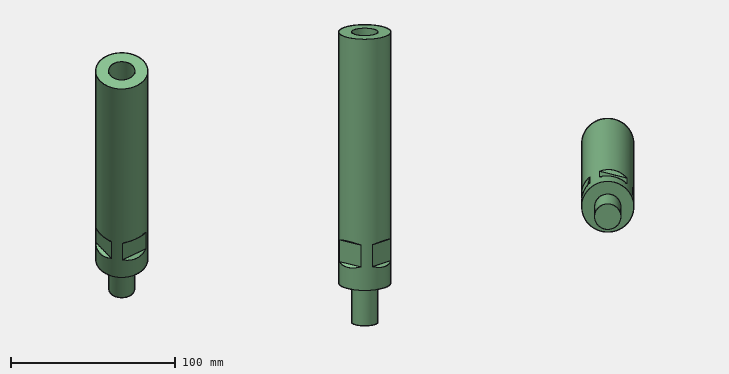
import cadquery as cq
import math

total_length = 184.5
body_diameter = 32.0
stud_diameter = 16.0
stud_length = 24.9

bore_diameter = stud_diameter
bore_depth = stud_length

across_flats = 27.0
flat_bottom = 39.9
flat_height = 13.8
end_slope = 30.0
flat_count = 4

body_radius = body_diameter / 2
flat_distance = across_flats / 2
flat_top = flat_bottom + flat_height


def make_flat_cutter():
    """Trapezoidal prism that cuts the flat on the +X side."""
    cutter_reach = body_diameter
    flare = (cutter_reach - flat_distance) * math.tan(math.radians(end_slope))
    return (
        cq.Workplane("XZ")
        .polyline([
            (flat_distance, flat_bottom),
            (cutter_reach, flat_bottom - flare),
            (cutter_reach, flat_top + flare),
            (flat_distance, flat_top),
        ])
        .close()
        .extrude(body_radius, both=True)
    )


stud = cq.Workplane("XY").circle(stud_diameter / 2).extrude(stud_length)
body = (
    cq.Workplane("XY")
    .workplane(offset=stud_length)
    .circle(body_radius)
    .extrude(total_length - stud_length)
)
result = body.union(stud)

result = result.faces(">Z").workplane().hole(bore_diameter, bore_depth)

for index in range(flat_count):
    angle = index * 360 / flat_count
    result = result.cut(make_flat_cutter().rotate((0, 0, 0), (0, 0, 1), angle))